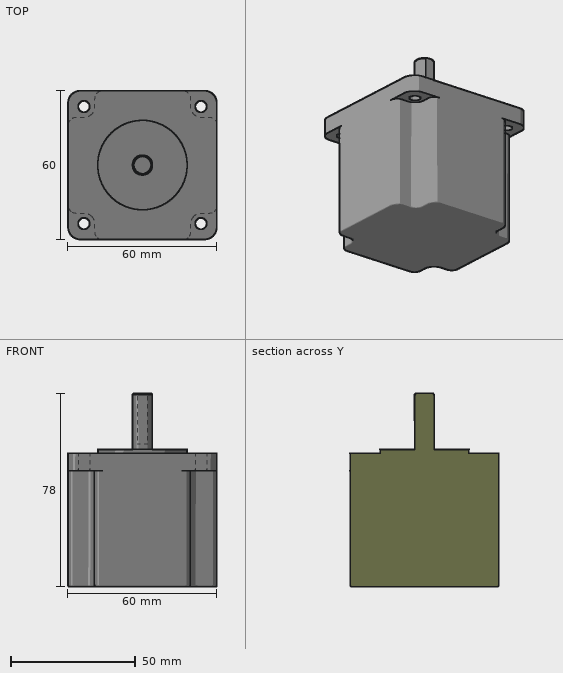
import cadquery as cq

side = 60.0
total_height = 78.0
flange_bottom = 46.8
flange_top = 53.8
flange_corner_radius = 5.1
hole_spacing = 47.1
hole_diameter = 4.5
pilot_diameter = 36.0
pilot_height = 1.55
shaft_diameter = 8.0
shaft_chamfer = 0.55
flat_depth = 0.55
flat_start_above_pilot = 2.35
notch_depth = 10.7
notch_edge_radius = 3.2
base_edge_radius = 0.8

half_side = side / 2
hole_offset = hole_spacing / 2
notch_wall = half_side - notch_depth
pilot_top = flange_top + pilot_height
shaft_radius = shaft_diameter / 2
flat_start = pilot_top + flat_start_above_pilot


def corner_notch():
    """Corner cutter whose rounded inner corner is centred on the screw hole."""
    inner_radius = hole_offset - notch_wall
    notch_size = 2 * notch_depth
    centre = notch_wall + notch_depth
    return (
        cq.Workplane("XY")
        .center(centre, centre)
        .rect(notch_size, notch_size)
        .extrude(flange_bottom)
        .edges("|Z and <X and <Y")
        .fillet(inner_radius)
    )


def make_body():
    """Square housing with a screw-access notch along each vertical corner."""
    body = cq.Workplane("XY").rect(side, side).extrude(flange_bottom)
    notch = corner_notch()
    for quarter_turn in range(4):
        body = body.cut(notch.rotate((0, 0, 0), (0, 0, 1), 90 * quarter_turn))

    at_sides = body.edges("|Z").filter(
        lambda edge: max(abs(edge.Center().x), abs(edge.Center().y)) > half_side - notch_edge_radius
    )
    body = at_sides.fillet(notch_edge_radius)
    return body.faces("<Z").edges().fillet(base_edge_radius)


def make_flange():
    """Mounting plate with rounded corners and four through holes."""
    plate = (
        cq.Workplane("XY", origin=(0, 0, flange_bottom))
        .rect(side, side)
        .extrude(flange_top - flange_bottom)
        .edges("|Z")
        .fillet(flange_corner_radius)
    )
    return (
        plate.faces(">Z")
        .workplane()
        .rect(hole_spacing, hole_spacing, forConstruction=True)
        .vertices()
        .hole(hole_diameter)
    )


def make_pilot():
    """Low centring disc on the flange."""
    return cq.Workplane("XY", origin=(0, 0, flange_top)).circle(pilot_diameter / 2).extrude(pilot_height)


def make_shaft():
    """Chamfered output shaft with a flat on its +Y side."""
    shaft = (
        cq.Workplane("XY", origin=(0, 0, pilot_top))
        .circle(shaft_radius)
        .extrude(total_height - pilot_top)
        .faces(">Z")
        .chamfer(shaft_chamfer)
    )
    flat_cutter = (
        cq.Workplane("XY", origin=(0, shaft_radius - flat_depth, flat_start))
        .rect(shaft_diameter, shaft_diameter)
        .extrude(total_height - flat_start)
        .translate((0, shaft_radius, 0))
    )
    return shaft.cut(flat_cutter)


result = make_body().union(make_flange()).union(make_pilot()).union(make_shaft())